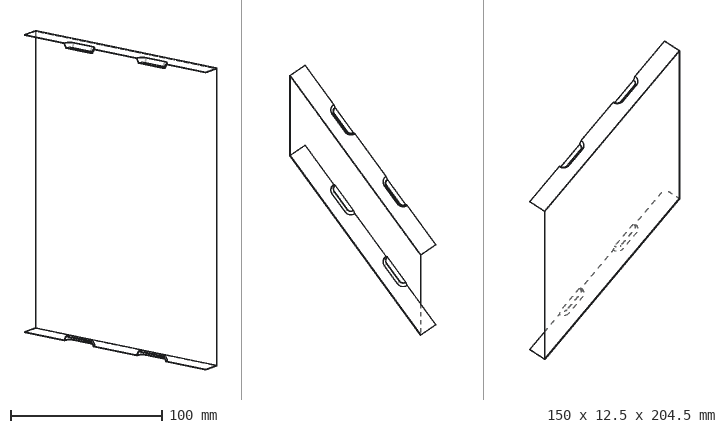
import cadquery as cq
import math

panel_width = 150.0
panel_height = 204.5
flange_depth = 12.5
sheet_thickness = 0.5

dimple_spacing = 60.0
dimple_straight_length = 15.0
dimple_depth = 3.0
dimple_mouth_radius = 4.5
dimple_floor_radius = 2.75

half_height = panel_height / 2
front_y = -flange_depth / 2
dimple_centers = (-dimple_spacing / 2, dimple_spacing / 2)

shell_top_radius = dimple_mouth_radius + sheet_thickness
shell_bottom_radius = dimple_floor_radius + sheet_thickness
shell_depth = dimple_depth + sheet_thickness


def make_channel():
    """Back sheet and both flanges: a block hollowed out from the front."""
    block = cq.Workplane("XY").box(panel_width, flange_depth, panel_height)
    hollow = cq.Workplane("XY").box(
        panel_width, flange_depth, panel_height - 2 * sheet_thickness
    ).translate((0, -sheet_thickness, 0))
    return block.cut(hollow)


def half_slot(workplane, center_x, radius):
    """Half of a rounded slot whose centre line lies on the flange's front edge."""
    left = center_x - dimple_straight_length / 2
    right = center_x + dimple_straight_length / 2
    diagonal = radius * math.sqrt(0.5)
    return (
        workplane.moveTo(left - radius, front_y)
        .threePointArc((left - diagonal, front_y + diagonal), (left, front_y + radius))
        .lineTo(right, front_y + radius)
        .threePointArc((right + diagonal, front_y + diagonal), (right + radius, front_y))
        .close()
    )


def tapered_half_slot(center_x, top_radius, bottom_radius, depth):
    """Half slot narrowing downward from the upper flange's outer face."""
    top = half_slot(cq.Workplane("XY").workplane(offset=half_height), center_x, top_radius)
    bottom = half_slot(top.workplane(offset=-depth), center_x, bottom_radius)
    return bottom.loft(ruled=True)


def make_dimple_shell(center_x):
    """Solid envelope of a dimple, including its wall and floor thickness."""
    return tapered_half_slot(center_x, shell_top_radius, shell_bottom_radius, shell_depth)


def make_dimple_recess(center_x):
    """Open space inside a dimple."""
    return tapered_half_slot(center_x, dimple_mouth_radius, dimple_floor_radius, dimple_depth)


def add_dimple_pair(body, center_x):
    """Press matching dimples into the upper and lower flanges."""
    shell = make_dimple_shell(center_x)
    recess = make_dimple_recess(center_x)
    body = body.union(shell).union(shell.mirror("XY"))
    return body.cut(recess).cut(recess.mirror("XY"))


result = make_channel()
for dimple_x in dimple_centers:
    result = add_dimple_pair(result, dimple_x)